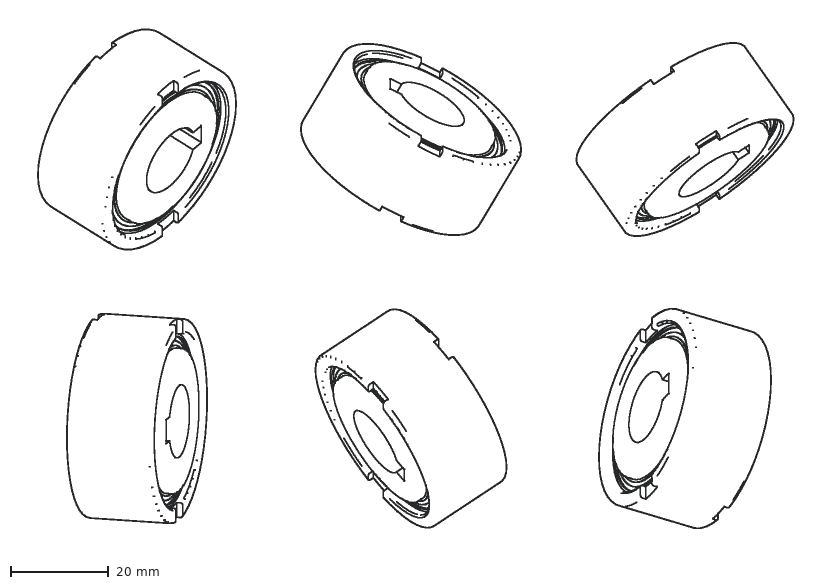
import cadquery as cq

outer_radius = 21.0
width = 18.0
half_width = width / 2
outer_edge_fillet = 0.5

recess_outer_radius = 17.95
hub_radius = 14.95
recess_depth = 1.75
race_edge_fillet = 0.4
hub_edge_fillet = 0.5

groove_outer_radius = 17.4
seal_outer_radius = 16.42
seal_inner_radius = 15.5
seal_depth = 1.95
groove_depth = 2.2

bore_radius = 7.5
keyway_width = 5.0
keyway_reach = 9.75

notch_width = 5.0
notch_depth = 1.25


def ring(inner_radius, ring_radius, start_x, length):
    """Annular solid around the X axis, beginning at start_x."""
    return (
        cq.Workplane("YZ", origin=(start_x, 0, 0))
        .circle(ring_radius)
        .circle(inner_radius)
        .extrude(length)
    )


def race():
    """Outer race with rounded edges and notched end faces."""
    body = ring(recess_outer_radius, outer_radius, -half_width, width)
    outer_edges = cq.selectors.RadiusNthSelector(-1)
    inner_edges = cq.selectors.RadiusNthSelector(0)
    body = body.edges("%CIRCLE").edges(outer_edges).fillet(outer_edge_fillet)
    body = body.faces("<X or >X").edges(inner_edges).fillet(race_edge_fillet)
    for side in (-1, 1):
        notch_center = side * (half_width - notch_depth / 2)
        body = body.cut(
            cq.Workplane("XY")
            .box(notch_depth, notch_width, 2 * outer_radius)
            .translate((notch_center, 0, 0))
        )
    return body


def hub():
    """Inner hub with rounded rims and a keyed through bore."""
    body = ring(bore_radius, hub_radius, -half_width, width)
    rims = cq.selectors.RadiusNthSelector(-1)
    body = body.edges("%CIRCLE").edges(rims).fillet(hub_edge_fillet)
    keyway = (
        cq.Workplane("XY")
        .box(width, keyway_reach, keyway_width)
        .translate((0, keyway_reach / 2, 0))
    )
    return body.cut(keyway)


def web():
    """Stepped disc that joins the hub to the outer race."""
    floor_x = half_width - recess_depth
    body = ring(hub_radius, recess_outer_radius, -floor_x, 2 * floor_x)
    for inner_radius, ring_radius, depth in (
        (seal_inner_radius, seal_outer_radius, seal_depth),
        (seal_outer_radius, groove_outer_radius, groove_depth),
    ):
        cut_length = depth - recess_depth
        body = body.cut(ring(inner_radius, ring_radius, -floor_x, cut_length))
        body = body.cut(ring(inner_radius, ring_radius, floor_x - cut_length, cut_length))
    return body


result = race().union(web()).union(hub())